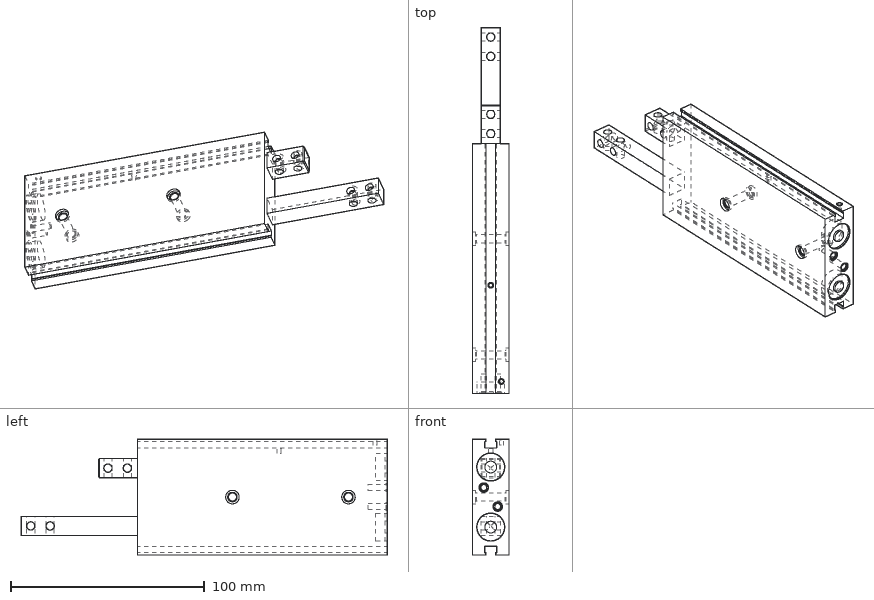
import cadquery as cq

overall_length = 189

width = 19.0
length = 129.0
height = 60.0

slot_opening = 5.0
slot_width = 6.0
slot_depth = 4.5
lip_height = 1.3

bore_diameter = 14.2
bore_mouth_diameter = 14.5
bore_chamfer = (bore_mouth_diameter - bore_diameter) / 2
bore_offset = 15.5
cover_recess = 1.1
cover_thickness = 5.0
bore_depth = cover_recess + cover_thickness
boss_diameter = 6.0

port_x = 3.5
port_z = 5.0
port_mouth_diameter = 5.0
port_diameter = 4.2
port_depth = 0.8
port_chamfer = (port_mouth_diameter - port_diameter) / 2
port_core_diameter = 3.0
port_core_depth = 10.0

mount_positions = [20.0, 80.0]
mount_diameter = 4.2
mount_bore_diameter = 7.0
mount_bore_depth = 1.7
mount_chamfer = 0.4

small_hole_diameter = 3.0
small_hole_core = 2.0
small_hole_chamfer = (small_hole_diameter - small_hole_core) / 2
small_hole_depth = 3.0
slot_hole_y = 56.0
top_hole_x = 5.5
top_hole_y = 6.2

bar_size = 10.0
bar_offset = 15.0
long_bar_length = overall_length - length
short_bar_length = 20.0
bar_hole_diameter = 4.2
bar_hole_end_distance = 5.0
bar_hole_pitch = 10.0
short_bar_chamfer = 0.5


def cylinder(diameter, depth, start, direction):
    return cq.Solid.makeCylinder(diameter / 2, depth, cq.Vector(*start), cq.Vector(*direction))


def chamfered_hole(diameter, mouth_diameter, chamfer, depth, start, direction):
    """Cutter for a blind hole whose mouth is widened by a cone."""
    hole = cylinder(diameter, depth, start, direction)
    mouth = cq.Solid.makeCone(
        mouth_diameter / 2, diameter / 2, chamfer, cq.Vector(*start), cq.Vector(*direction)
    )
    return hole.fuse(mouth)


def make_slot(side):
    """Cutter for the stepped slot on the top (side = 1) or bottom (side = -1)."""
    half_opening = slot_opening / 2
    half_width = slot_width / 2
    face = side * height / 2
    lip = face - side * lip_height
    floor = face - side * slot_depth
    return (
        cq.Workplane("XZ")
        .polyline([
            (-half_opening, face), (-half_opening, lip), (-half_width, lip),
            (-half_width, floor), (half_width, floor), (half_width, lip),
            (half_opening, lip), (half_opening, face),
        ])
        .close()
        .extrude(-length)
    )


def make_housing():
    body = cq.Workplane("XY").box(width, length, height).translate((0, length / 2, 0))

    for side in (1, -1):
        body = body.cut(make_slot(side))
        bore_start = (0, 0, side * bore_offset)
        body = body.cut(chamfered_hole(
            bore_diameter, bore_mouth_diameter, bore_chamfer, bore_depth, bore_start, (0, 1, 0)
        ))
        port_start = (-side * port_x, 0, side * port_z)
        body = body.cut(chamfered_hole(
            port_diameter, port_mouth_diameter, port_chamfer, port_depth, port_start, (0, 1, 0)
        ))
        body = body.cut(cylinder(port_core_diameter, port_core_depth, port_start, (0, 1, 0)))

    for y in mount_positions:
        body = body.cut(cylinder(mount_diameter, width, (-width / 2, y, 0), (1, 0, 0)))
        for side in (1, -1):
            inward = (-side, 0, 0)
            body = body.cut(cylinder(mount_bore_diameter, mount_bore_depth, (side * width / 2, y, 0), inward))
            step = (side * (width / 2 - mount_bore_depth), y, 0)
            body = body.cut(chamfered_hole(
                mount_diameter, mount_diameter + 2 * mount_chamfer, mount_chamfer, mount_bore_depth, step, inward
            ))

    slot_hole = (0, slot_hole_y, height / 2 - slot_depth)
    top_hole = (top_hole_x, top_hole_y, height / 2)
    for start in (slot_hole, top_hole):
        body = body.cut(chamfered_hole(
            small_hole_core, small_hole_diameter, small_hole_chamfer, small_hole_depth, start, (0, 0, -1)
        ))
    return body


def make_cover(side):
    """Recessed disc closing a bore, with a central boss flush with the front face."""
    z = side * bore_offset
    disc = cylinder(bore_diameter, cover_thickness, (0, cover_recess, z), (0, 1, 0))
    boss = cylinder(boss_diameter, cover_recess + cover_thickness, (0, 0, z), (0, 1, 0))
    return cq.Workplane(disc).union(cq.Workplane(boss))


def make_bar(bar_length, z):
    """Square bar on the back face, with two pairs of crossing through holes near its free end."""
    bar = cq.Workplane("XY").box(bar_size, bar_length, bar_size).translate((0, length + bar_length / 2, z))
    first_hole_y = length + bar_length - bar_hole_end_distance
    for y in (first_hole_y, first_hole_y - bar_hole_pitch):
        bar = bar.cut(cylinder(bar_hole_diameter, bar_size, (-bar_size / 2, y, z), (1, 0, 0)))
        bar = bar.cut(cylinder(bar_hole_diameter, bar_size, (0, y, z - bar_size / 2), (0, 0, 1)))
    return bar


housing = make_housing()
covers = [make_cover(side) for side in (1, -1)]
short_bar = make_bar(short_bar_length, bar_offset).faces(">Y").chamfer(short_bar_chamfer)
long_bar = make_bar(long_bar_length, -bar_offset)

result = cq.Compound.makeCompound([
    housing.val(),
    *[cover.val() for cover in covers],
    short_bar.val(),
    long_bar.val(),
])